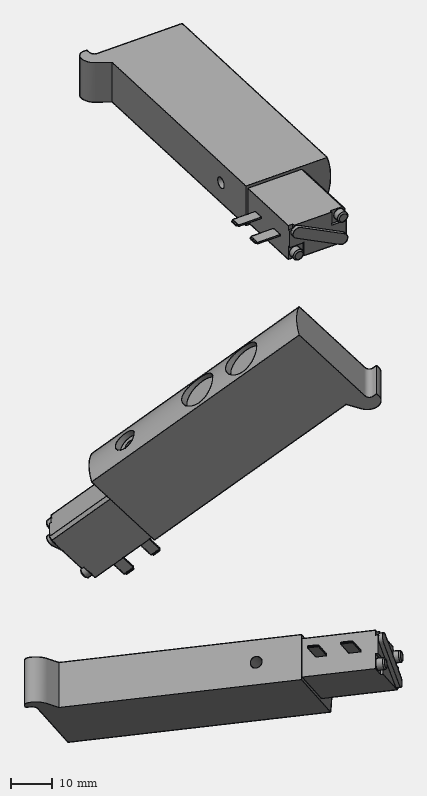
import cadquery as cq
import math

overall_length = 89.8
overall_width = 30.4

body_left = 2.5
body_right = 69.15
body_bottom = 6.4
shoulder_y = 29.45
body_height = 11.7
half_height = body_height / 2

hook_lip_y = 3.95
hook_bottom_y = 0.9
hook_tip_radius = 2.25
hook_inner_radius = 1.4
hook_outer_radius = 3.95
hook_slope = math.radians(60)
hook_root_x = 7.6

screw_x = 57.65
screw_diameter = 3.0
recesses = [(20.3, 10.0), (34.4, 10.0), (screw_x, 6.0)]
recess_floor_y = shoulder_y - 0.9

block_end = 88.4
block_bottom = 6.9
block_top = 23.0
block_height = 10.0
block_chamfer = 0.8

pocket_floor_x = 87.7
pocket_side_y = 4.1
pocket_side_z = 3.9
small_notch = 1.3
pin_diameter = 3.0
pin_chamfer = 0.4
pin_low_y = 8.7
pin_high_y = 21.3
pin_z = 3.2
strap_end = overall_length - pin_chamfer

prongs = [(74.0, 2.8), (82.5, 3.05)]
prong_thickness = 0.45
prong_tip_length = 0.45
prong_tip_inset = 0.31
prong_tip_thickness = 0.3


def box(x, y, z):
    """Box between the given (low, high) limits on each axis."""
    return (
        cq.Workplane("XY")
        .box(x[1] - x[0], y[1] - y[0], z[1] - z[0], centered=False)
        .translate((x[0], y[0], z[0]))
    )


def cylinder_along_y(x, diameter, y_low, y_high):
    return (
        cq.Workplane("XZ", origin=(x, y_low, 0))
        .circle(diameter / 2)
        .extrude(-(y_high - y_low))
    )


def crowned_body():
    """Long bar with an arched +Y side."""
    return (
        cq.Workplane("YZ", origin=(body_left, 0, 0))
        .moveTo(body_bottom, -half_height)
        .lineTo(shoulder_y, -half_height)
        .threePointArc((overall_width, 0), (shoulder_y, half_height))
        .lineTo(body_bottom, half_height)
        .close()
        .extrude(body_right - body_left)
    )


def hook():
    arc_center_y = hook_bottom_y + hook_outer_radius

    def outer_point(angle):
        return (
            hook_tip_radius + hook_outer_radius * math.sin(angle),
            arc_center_y - hook_outer_radius * math.cos(angle),
        )

    bend = hook_inner_radius * (1 - math.sqrt(0.5))
    tip_inset = hook_tip_radius * (1 - math.sqrt(0.5))
    return (
        cq.Workplane("XY", origin=(0, 0, -half_height))
        .moveTo(body_left, body_bottom)
        .lineTo(body_left, hook_lip_y + hook_inner_radius)
        .threePointArc(
            (body_left - bend, hook_lip_y + bend),
            (body_left - hook_inner_radius, hook_lip_y),
        )
        .lineTo(0, hook_lip_y)
        .lineTo(0, hook_bottom_y + hook_tip_radius)
        .threePointArc((tip_inset, hook_bottom_y + tip_inset), (hook_tip_radius, hook_bottom_y))
        .threePointArc(outer_point(hook_slope / 2), outer_point(hook_slope))
        .lineTo(hook_root_x, body_bottom)
        .close()
        .extrude(body_height)
    )


def connector_block():
    """Block with chamfered +Y edges and pockets in three end-face corners."""
    half = block_height / 2
    block = box((body_right, block_end), (block_bottom, block_top), (-half, half))
    block = block.faces(">Y").edges("|X").chamfer(block_chamfer)
    depth = (pocket_floor_x, block_end)
    block = block.cut(box(depth, (block_top - pocket_side_y, block_top), (half - pocket_side_z, half)))
    block = block.cut(
        box(depth, (block_bottom, block_bottom + pocket_side_y), (-half, -half + pocket_side_z))
    )
    return block.cut(
        box(depth, (block_bottom, block_bottom + small_notch), (half - small_notch, half))
    )


def end_pin(y, z):
    return (
        cq.Workplane("YZ", origin=(pocket_floor_x, y, z))
        .circle(pin_diameter / 2)
        .extrude(overall_length - pocket_floor_x)
        .faces(">X")
        .chamfer(pin_chamfer)
    )


def end_strap():
    """Round-ended strap crossing the end face between the two free corners."""
    rise = pin_high_y - pin_low_y
    drop = 2 * pin_z
    length = math.hypot(rise, drop) + pin_diameter
    return (
        cq.Workplane("YZ", origin=(block_end, (pin_low_y + pin_high_y) / 2, 0))
        .slot2D(length, pin_diameter, -math.degrees(math.atan2(drop, rise)))
        .extrude(strap_end - block_end)
    )


def prong(x, width):
    def blade(blade_width, thickness, y_low):
        return box(
            (x - blade_width / 2, x + blade_width / 2),
            (y_low, block_bottom),
            (-thickness / 2, thickness / 2),
        )

    tip = blade(width - 2 * prong_tip_inset, prong_tip_thickness, 0)
    return blade(width, prong_thickness, prong_tip_length).union(tip)


result = crowned_body().union(hook())
for recess_x, recess_diameter in recesses:
    result = result.cut(cylinder_along_y(recess_x, recess_diameter, recess_floor_y, overall_width))
result = result.cut(cylinder_along_y(screw_x, screw_diameter, body_bottom, overall_width))

result = result.union(connector_block()).union(end_strap())
result = result.union(end_pin(pin_high_y, pin_z)).union(end_pin(pin_low_y, -pin_z))
for prong_x, prong_width in prongs:
    result = result.union(prong(prong_x, prong_width))